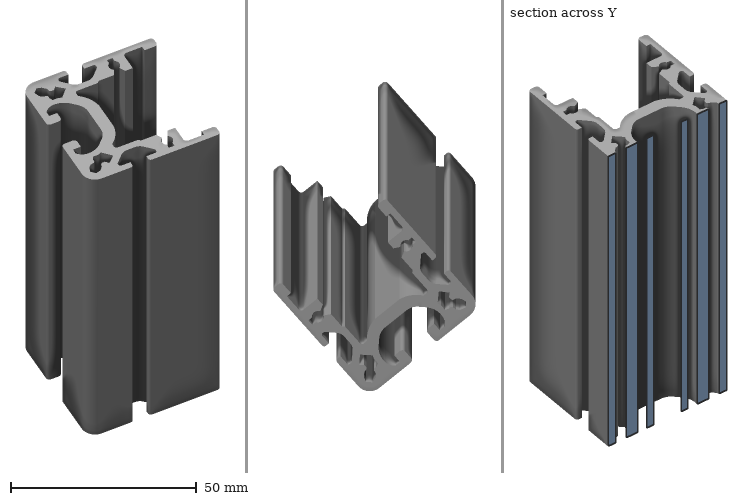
import cadquery as cq
import math

size = 40.0
half = size / 2
length = 100.0
diagonal = math.sqrt(0.5)
outer_radius = 4.0
edge_radius = 1.0
lip = 1.8

jaw_edge = half - 4.0
jaw_back = 13.0
jaw_height = 4.4
chamber_floor = 2.0
chamber_floor_end = 11.5
chamber_left = 9.9
chamber_top = 12.1
chamber_floor_radius = 3.6
chamber_side_radius = 5.8
flank_low_y = 9.3
flank_high_y = 10.8

arch_top = 15.7
arch_flat_start = 15.7
arch_mid_x = 12.1
arch_mid_y = 14.3
valley_floor = 12.3
valley_end = 10.0
valley_fillet = 0.8

slot_y = 16.0
slot_half_opening = 2.4
slot_half_height = 5.7
slot_half_flat = 1.2
slot_depth = 6.2
slot_back_radius = 3.0
slot_tip_fillet = 0.6
slot_lip_radius = 0.8

wall_inner = 8.2
arm_inner = 7.6
step_y = 19.2
step_height = wall_inner - arm_inner
shelf_top = 30.1
shelf_fillet = 1.0
hook_width = 3.2
hook_bottom = 35.9

groove_y = 26.1
groove_half_gap = 0.85
groove_bore_x = 4.4
groove_bore_radius = 1.6
groove_mouth_start = 6.0
groove_mouth_half = 1.7

cavity_points = [
    (6.1, 10.6), (8.6, 8.2), (8.2, 7.2), (8.2, 5.5), (7.2, 5.1), (6.4, 5.1), (6.1, 4.7), (5.9, 3.7),
    (5.2, 2.9), (3.6, 2.4), (2.4, 3.6), (2.8, 5.0), (3.8, 6.0), (4.8, 6.3), (5.1, 6.7), (5.1, 7.6),
    (4.1, 8.4),
]


def section_plane():
    """Section plane at the lower end, with its origin at the corner of the bounding square."""
    return cq.Workplane("XY", origin=(-half, -half, -length / 2))


def block(x0, x1, y0, y1):
    """Full-length rectangular bar given by its section limits."""
    return section_plane().moveTo((x0 + x1) / 2, (y0 + y1) / 2).rect(x1 - x0, y1 - y0).extrude(length)


def solid_half():
    """Half section without the side slot, screw groove and corner cavity."""
    floor_step = chamber_floor_end - chamber_left
    floor_arc_rise = math.sqrt(floor_step * (2 * chamber_floor_radius - floor_step))
    wall_low_y = chamber_floor + floor_arc_rise
    wall_high_y = flank_low_y - chamber_side_radius * diagonal
    flank_low_x = chamber_left + chamber_side_radius * (1 - diagonal)
    flank_high_x = flank_low_x + flank_high_y - flank_low_y
    roof_radius = (chamber_top - flank_high_y) / (1 - diagonal)
    roof_start_x = flank_high_x + roof_radius * diagonal
    return (
        section_plane()
        .moveTo(outer_radius, 0)
        .lineTo(jaw_edge - edge_radius, 0)
        .radiusArc((jaw_edge, edge_radius), -edge_radius)
        .lineTo(jaw_edge, jaw_height - edge_radius)
        .radiusArc((jaw_edge - edge_radius, jaw_height), -edge_radius)
        .lineTo(jaw_back, jaw_height)
        .lineTo(jaw_back, chamber_floor)
        .lineTo(chamber_floor_end, chamber_floor)
        .radiusArc((chamber_left, wall_low_y), chamber_floor_radius)
        .lineTo(chamber_left, wall_high_y)
        .radiusArc((flank_low_x, flank_low_y), chamber_side_radius)
        .lineTo(flank_high_x, flank_high_y)
        .radiusArc((roof_start_x, chamber_top), roof_radius)
        .lineTo(half, chamber_top)
        .lineTo(half, arch_top)
        .lineTo(arch_flat_start, arch_top)
        .threePointArc((arch_mid_x, arch_mid_y), (valley_end, valley_floor))
        .lineTo(wall_inner + valley_fillet, valley_floor)
        .radiusArc((wall_inner, valley_floor + valley_fillet), valley_fillet)
        .lineTo(wall_inner, step_y)
        .lineTo(arm_inner, step_y + step_height)
        .lineTo(arm_inner, shelf_top)
        .lineTo(lip + shelf_fillet, shelf_top)
        .radiusArc((lip, shelf_top + shelf_fillet), shelf_fillet)
        .lineTo(lip, hook_bottom)
        .lineTo(hook_width, hook_bottom)
        .lineTo(hook_width, size - edge_radius)
        .radiusArc((hook_width - edge_radius, size), -edge_radius)
        .lineTo(edge_radius, size)
        .radiusArc((0, size - edge_radius), -edge_radius)
        .lineTo(0, outer_radius)
        .radiusArc((outer_radius, 0), -outer_radius)
        .close()
        .extrude(length)
    )


def side_slot():
    """Side slot with rounded lips; its upper half is drawn and mirrored about slot_y."""
    mouth = slot_half_opening
    arc_end_x = slot_depth - slot_back_radius * (1 - diagonal)
    arc_end_y = slot_half_flat + slot_back_radius * diagonal
    flank_end_x = arc_end_x - (slot_half_height - arc_end_y)
    upper_half = (
        cq.Workplane("XY", origin=(-half, slot_y - half, -length / 2))
        .lineTo(0, mouth + slot_lip_radius)
        .radiusArc((slot_lip_radius, mouth), -slot_lip_radius)
        .lineTo(lip, mouth)
        .lineTo(lip, slot_half_height - slot_tip_fillet)
        .radiusArc((lip + slot_tip_fillet, slot_half_height), slot_tip_fillet)
        .lineTo(flank_end_x, slot_half_height)
        .lineTo(arc_end_x, arc_end_y)
        .radiusArc((slot_depth, slot_half_flat), slot_back_radius)
        .lineTo(slot_depth, 0)
        .close()
        .extrude(length)
    )
    lower_half = upper_half.mirror("XZ", (0, slot_y - half, 0))
    return upper_half.union(lower_half)


def screw_groove():
    """Narrow groove with a round screw bore and a flared mouth."""
    gap = block(lip, arm_inner, groove_y - groove_half_gap, groove_y + groove_half_gap)
    bore = section_plane().moveTo(groove_bore_x, groove_y).circle(groove_bore_radius).extrude(length)
    mouth = (
        section_plane()
        .moveTo(groove_mouth_start, groove_y - groove_half_gap)
        .lineTo(arm_inner, groove_y - groove_mouth_half)
        .lineTo(arm_inner, groove_y + groove_mouth_half)
        .lineTo(groove_mouth_start, groove_y + groove_half_gap)
        .close()
        .extrude(length)
    )
    return gap.union(bore).union(mouth)


def corner_cavity():
    """Closed cavity running the full length beside the rounded outer corner."""
    return section_plane().polyline(cavity_points).close().extrude(length)


left_half = solid_half().cut(side_slot()).cut(screw_groove()).cut(corner_cavity())
result = left_half.union(left_half.mirror("YZ")).clean()